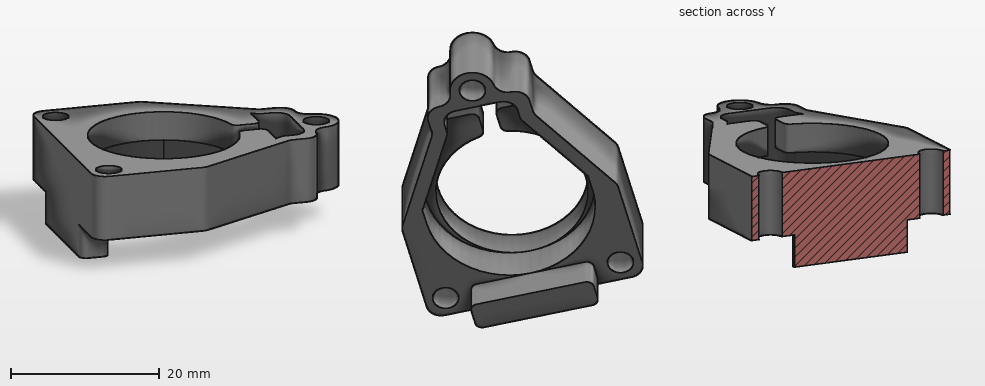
import cadquery as cq
import math

plate_width = 29.95
plate_length = 38.77
plate_height = 9.0
corner_radius = 2.0
small_radius = 1.0

hole_diameter = 3.5
front_hole_x = 12.15
front_hole_y = 2.8

boss_radius = 3.02
boss_y = plate_length - boss_radius
shoulder_y = 34.25
shoulder_base_y = 29.93
slope_start_y = 15.6

bore_radius = 10.25
bore_y = 14.25
slot_width = 2.4
pocket_width = 10.15
pocket_front_y = 28.3
pocket_rear_y = 33.0
flare_y = 29.45

lip_thickness = 4.0
cavity_half_width = 11.5
cavity_front_y = bore_y - bore_radius

tab_width = 17.02
tab_length = cavity_front_y
tab_height = 4.5

half_width = plate_width / 2

neck_y = shoulder_y + corner_radius
neck_x = math.sqrt((boss_radius + corner_radius) ** 2 - (neck_y - boss_y) ** 2)
shoulder_x = neck_x + corner_radius
slope = (half_width - shoulder_x) / (shoulder_base_y - slope_start_y)


def arc_point(center_x, center_y, radius, angle):
    """Point on a circle, angle in degrees counterclockwise from +X."""
    turn = math.radians(angle)
    return center_x + radius * math.cos(turn), center_y + radius * math.sin(turn)


def mirrored(point):
    return -point[0], point[1]


def fillet_upright(solid, points, radius):
    """Round the upright edges passing through the given XY points."""
    margin = 0.05
    edges = solid.edges("|Z")
    picked = []
    for x, y in points:
        low = (x - margin, y - margin, -plate_height)
        high = (x + margin, y + margin, 2 * plate_height)
        picked += edges.edges(cq.selectors.BoxSelector(low, high)).vals()
    return solid.newObject(picked).fillet(radius)


def make_plate():
    neck_angle = math.degrees(math.atan2(boss_y - neck_y, -neck_x))
    neck_bottom_angle = -90
    neck_middle_angle = (neck_angle + neck_bottom_angle) / 2
    shoulder_end = (neck_x, shoulder_y)
    shoulder_middle = arc_point(neck_x, shoulder_y - corner_radius, corner_radius, 45)
    neck_middle = arc_point(neck_x, neck_y, corner_radius, neck_middle_angle)
    neck_end = arc_point(neck_x, neck_y, corner_radius, neck_angle)
    shoulder_start = (shoulder_x, shoulder_y - corner_radius)

    plate = (
        cq.Workplane("XY")
        .moveTo(-half_width, 0)
        .lineTo(half_width, 0)
        .lineTo(half_width, slope_start_y)
        .lineTo(shoulder_x, shoulder_base_y)
        .lineTo(*shoulder_start)
        .threePointArc(shoulder_middle, shoulder_end)
        .threePointArc(neck_middle, neck_end)
        .threePointArc((0, plate_length), mirrored(neck_end))
        .threePointArc(mirrored(neck_middle), mirrored(shoulder_end))
        .threePointArc(mirrored(shoulder_middle), mirrored(shoulder_start))
        .lineTo(-shoulder_x, shoulder_base_y)
        .lineTo(-half_width, slope_start_y)
        .close()
        .extrude(plate_height)
    )
    right_corners = [(half_width, 0), (half_width, slope_start_y), (shoulder_x, shoulder_base_y)]
    corners = right_corners + [mirrored(corner) for corner in right_corners]
    return fillet_upright(plate, corners, corner_radius)


def make_clamp_opening():
    """Bore, slot and pocket joined into one through opening."""
    half_pocket = pocket_width / 2
    half_slot = slot_width / 2
    flare_x = half_pocket + (flare_y - pocket_front_y) * slope
    right_side = [(flare_x, pocket_front_y), (half_pocket, flare_y), (half_pocket, pocket_rear_y)]
    left_side = [mirrored(point) for point in reversed(right_side)]
    pocket = cq.Workplane("XY").polyline(right_side + left_side).close().extrude(plate_height)
    slot_length = pocket_front_y - bore_y
    slot = (
        cq.Workplane("XY")
        .center(0, bore_y + slot_length / 2)
        .rect(slot_width, slot_length)
        .extrude(plate_height)
    )
    bore = cq.Workplane("XY").center(0, bore_y).circle(bore_radius).extrude(plate_height)
    opening = pocket.union(slot).union(bore)

    mouth_y = bore_y + math.sqrt(bore_radius ** 2 - half_slot ** 2)
    rear_corners = [(side * half_pocket, pocket_rear_y) for side in (-1, 1)]
    flare_corners = [(side * half_pocket, flare_y) for side in (-1, 1)]
    slot_corners = [(side * half_slot, y) for side in (-1, 1) for y in (mouth_y, pocket_front_y)]
    opening = fillet_upright(opening, rear_corners, corner_radius)
    return fillet_upright(opening, flare_corners + slot_corners, small_radius)


def make_cavity():
    """Cavity whose sloped sides continue the pocket flare, closed by a round front end."""
    half_pocket = pocket_width / 2
    side_top_y = flare_y - (cavity_half_width - half_pocket) / slope
    round_y = cavity_front_y + cavity_half_width
    return (
        cq.Workplane("XY")
        .moveTo(half_pocket, flare_y)
        .lineTo(-half_pocket, flare_y)
        .lineTo(-cavity_half_width, side_top_y)
        .lineTo(-cavity_half_width, round_y)
        .threePointArc((0, cavity_front_y), (cavity_half_width, round_y))
        .lineTo(cavity_half_width, side_top_y)
        .close()
        .extrude(plate_height - lip_thickness)
    )


def make_tab():
    return (
        cq.Workplane("XY")
        .center(0, tab_length / 2)
        .rect(tab_width, tab_length)
        .extrude(-tab_height)
        .edges("|Z")
        .fillet(small_radius)
    )


def make_screw_holes():
    centers = [(-front_hole_x, front_hole_y), (front_hole_x, front_hole_y), (0, boss_y)]
    return cq.Workplane("XY").pushPoints(centers).circle(hole_diameter / 2).extrude(plate_height)


plate = make_plate().cut(make_clamp_opening()).cut(make_cavity()).cut(make_screw_holes())
result = plate.union(make_tab())